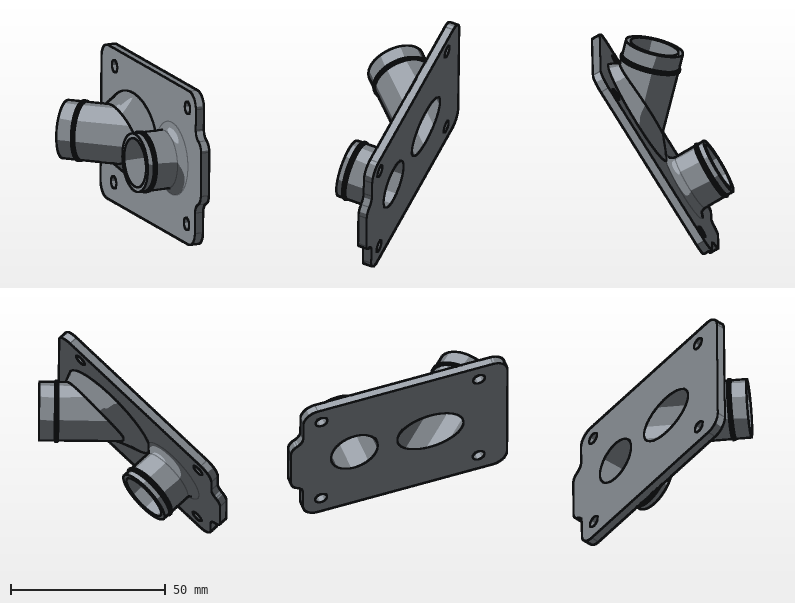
import cadquery as cq
import math

plate_length = 70.0
plate_height = 51.5
plate_thickness = 3.0
corner_radius = 5.0
overall_length = 74.15
tab_root_half_height = 13.95
tab_tip_half_height = 7.3
tab_lead_in = 0.75
plate_tilt = 0.5

hole_diameter = 4.0
hole_spacing_x = 54.0
hole_spacing_z = 39.0
hole_center_x = 36.8
hole_center_z = 0.4

pipe_diameter = 19.05
bore_diameter = 16.0
bead_diameter = 19.8
bead_root_width = 1.2
bead_crest_width = 0.5
straight_pipe_x = 52.4
straight_pipe_depth = 16.1
straight_bead_setback = 2.7
root_fillet = 2.5
angled_pipe_x = 23.4
angled_pipe_length = 22.85
angled_bead_setback = 5.6
angled_pipe_angle = 45.0
root_chamfer = 5.0

front_y = -plate_thickness
backward_reach = 22.25
selector_tolerance = 0.1


def make_plate():
    """Rounded plate with an S-curved tab on its +X edge."""
    body = (
        cq.Workplane("XZ")
        .rect(plate_length, plate_height)
        .extrude(plate_thickness)
        .edges("|Y")
        .fillet(corner_radius)
        .translate((plate_length / 2, 0, 0))
    )
    middle_x = (plate_length + overall_length) / 2
    middle_z = (tab_root_half_height + tab_tip_half_height) / 2
    tab = (
        cq.Workplane("XZ")
        .moveTo(plate_length, -tab_root_half_height - tab_lead_in)
        .lineTo(plate_length, -tab_root_half_height)
        .tangentArcPoint((middle_x, -middle_z), relative=False)
        .tangentArcPoint((overall_length, -tab_tip_half_height), relative=False)
        .lineTo(overall_length, tab_tip_half_height)
        .tangentArcPoint((middle_x, middle_z), relative=False)
        .tangentArcPoint((plate_length, tab_root_half_height), relative=False)
        .lineTo(plate_length / 2, tab_root_half_height)
        .lineTo(plate_length / 2, -tab_root_half_height - tab_lead_in)
        .close()
        .extrude(plate_thickness)
    )
    return body.union(tab)


def make_bead(plane, tip_distance, setback):
    """Raised bead with sloped flanks, set back from the pipe tip."""
    center = tip_distance - setback
    bore_radius = bore_diameter / 2
    pipe_radius = pipe_diameter / 2
    crest_radius = bead_diameter / 2
    return (
        cq.Workplane(plane)
        .transformed(rotate=(90, 0, 0))
        .polyline([
            (bore_radius, center - bead_root_width / 2),
            (pipe_radius, center - bead_root_width / 2),
            (crest_radius, center - bead_crest_width / 2),
            (crest_radius, center + bead_crest_width / 2),
            (pipe_radius, center + bead_root_width / 2),
            (bore_radius, center + bead_root_width / 2),
        ])
        .close()
        .revolve(360, (0, 0), (0, 1))
    )


def pipe_plane(x, angle):
    """Plane on the plate front with its normal along a pipe, leaning toward -X."""
    lean = math.radians(angle)
    return cq.Plane(
        origin=(x, front_y, 0),
        xDir=(0, 0, 1),
        normal=(-math.sin(lean), -math.cos(lean), 0),
    )


def cylinder(plane, diameter, start, end):
    return cq.Workplane(plane).workplane(offset=start).circle(diameter / 2).extrude(end - start)


def root_selector(x):
    """Select the edge where a pipe centered at x meets the plate front."""
    reach = pipe_diameter / 2
    return cq.selectors.BoxSelector(
        (x - reach, front_y - selector_tolerance, -reach),
        (x + reach, front_y + selector_tolerance, reach),
    )


angled_plane = pipe_plane(angled_pipe_x, angled_pipe_angle)
straight_plane = pipe_plane(straight_pipe_x, 0)
straight_pipe_length = straight_pipe_depth - plate_thickness

plate = make_plate()
behind_front = (
    cq.Workplane("XZ", origin=(angled_pipe_x, front_y, 0))
    .circle(overall_length)
    .extrude(-overall_length)
)
angled_pipe = cylinder(angled_plane, pipe_diameter, -backward_reach, angled_pipe_length).cut(behind_front)
angled_body = plate.union(angled_pipe).edges(root_selector(angled_pipe_x)).chamfer(root_chamfer)

straight_body = plate.union(cylinder(straight_plane, pipe_diameter, 0, straight_pipe_length))
straight_body = straight_body.edges(root_selector(straight_pipe_x)).fillet(root_fillet)

part = (
    angled_body.union(straight_body)
    .union(make_bead(angled_plane, angled_pipe_length, angled_bead_setback))
    .union(make_bead(straight_plane, straight_pipe_length, straight_bead_setback))
)

for plane, length in ((angled_plane, angled_pipe_length), (straight_plane, straight_pipe_length)):
    part = part.cut(cylinder(plane, bore_diameter, -backward_reach, length))

mounting_holes = (
    cq.Workplane("XZ", origin=(hole_center_x, 0, hole_center_z))
    .rarray(hole_spacing_x, hole_spacing_z, 2, 2)
    .circle(hole_diameter / 2)
    .extrude(plate_thickness)
)
part = part.cut(mounting_holes)

result = part.rotate((0, 0, 0), (1, 0, 0), -plate_tilt)